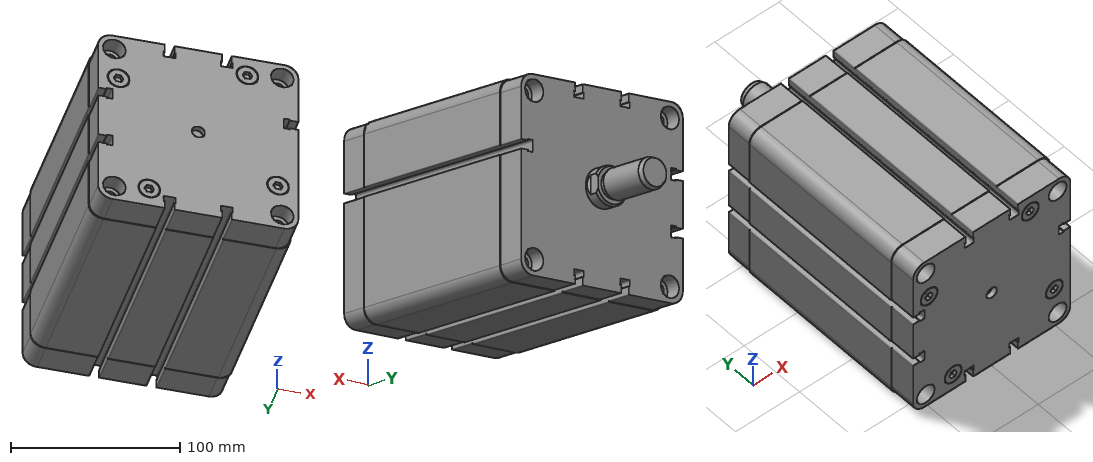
import cadquery as cq
import math


overall_length = 216.5
body_length = 166.7
cap_length = 19.3
tube_side = 124.0
cap_side = 123.0
tube_corner_radius = 9.0
cap_corner_radius = 8.9

slot_offset = 17.5
slot_mouth_width = 5.8
slot_undercut_width = 7.4
slot_depth = 9.5
slot_floor_height = tube_side / 2 - slot_depth
slot_undercut_height = 3.7
slot_lip_radius = 0.32
slot_floor_radius = 0.6

corner_hole_offset = 51.5
corner_hole_diameter = 8.5
corner_bore_diameter = 13.9
corner_bore_depth = 10.8

screw_near_offset = 30.0
screw_far_offset = 49.0
screw_recess_diameter = 13.5
screw_head_diameter = 12.5
screw_recess_depth = 5.5
hex_across_flats = 5.0
hex_depth = 2.5

center_hole_diameter = 8.0
center_hole_depth = 4.0

rod_diameter = 25.0
rod_end_diameter = 23.0
rod_end_chamfer_length = 2.0
rod_length = 10.0
neck_diameter = 17.3
thread_diameter = 20.0
thread_tip_diameter = 17.5
thread_length = 36.2
thread_tip_chamfer_length = 3.2
thread_root_chamfer_length = 0.6

flat_spacing = 21.9
flat_start = 2.8


def square_prism(side, radius, start, length):
    """Square bar with rounded corners along Y, starting at y = start."""
    bar = cq.Workplane("XY").box(side, length, side).edges("|Y").fillet(radius)
    return bar.translate((0, start + length / 2, 0))


def cylinder(diameter, start, length, x=0, z=0):
    """Round bar along Y, starting at y = start."""
    bar = cq.Workplane("XZ").circle(diameter / 2).extrude(-length)
    return bar.translate((x, start, z))


def slot_cutter(offset, turn, face_height, start, length):
    """Undercut slot at x = offset in a top face at z = face_height, turned about Y to its side."""
    undercut_top = slot_floor_height + slot_undercut_height
    undercut = cq.Workplane("XY").box(slot_undercut_width, length, slot_undercut_height)
    undercut = undercut.edges("|Y and <Z").fillet(slot_floor_radius)
    undercut = undercut.translate((0, 0, undercut_top - slot_undercut_height / 2))

    half_mouth = slot_mouth_width / 2
    half_opening = half_mouth + slot_lip_radius
    arc_start = face_height - slot_lip_radius
    mouth = (
        cq.Workplane("XZ")
        .moveTo(-half_mouth, slot_floor_height)
        .lineTo(half_mouth, slot_floor_height)
        .lineTo(half_mouth, arc_start)
        .radiusArc((half_opening, face_height), slot_lip_radius)
        .lineTo(-half_opening, face_height)
        .radiusArc((-half_mouth, arc_start), slot_lip_radius)
        .close()
        .extrude(length / 2, both=True)
    )
    cutter = undercut.union(mouth).translate((offset, start + length / 2, 0))
    return cutter.rotate((0, 0, 0), (0, 1, 0), turn)


def slotted_prism(side, radius, start, length):
    """Body section with two slots on the top, bottom and -X sides, and one on the +X side."""
    top, right, bottom, left = 0, 90, 180, 270
    section = square_prism(side, radius, start, length)
    for turn in (top, bottom, left):
        for offset in (-slot_offset, slot_offset):
            section = section.cut(slot_cutter(offset, turn, side / 2, start, length))
    return section.cut(slot_cutter(-slot_offset, right, side / 2, start, length))


def screw_cutter(x, z):
    """Thin ring around a flush screw head, plus its hexagon socket."""
    ring = cylinder(screw_recess_diameter, 0, screw_recess_depth, x, z)
    ring = ring.cut(cylinder(screw_head_diameter, 0, screw_recess_depth, x, z))
    hex_across_corners = hex_across_flats / math.cos(math.pi / 6)
    socket = cq.Workplane("XZ").polygon(6, hex_across_corners).extrude(-hex_depth)
    return ring.union(socket.translate((x, 0, z)))


def piston_rod():
    """Turned rod with a neck and a chamfered thread, and two wrench flats facing +X and -X."""
    shoulder = body_length + rod_length
    thread_start = overall_length - thread_length
    thread_tip = overall_length - thread_tip_chamfer_length
    rod_start = body_length - cap_length
    rod = (
        cq.Workplane("XY")
        .moveTo(0, rod_start)
        .lineTo(rod_diameter / 2, rod_start)
        .lineTo(rod_diameter / 2, shoulder - rod_end_chamfer_length)
        .lineTo(rod_end_diameter / 2, shoulder)
        .lineTo(neck_diameter / 2, shoulder)
        .lineTo(neck_diameter / 2, thread_start - thread_root_chamfer_length)
        .lineTo(thread_diameter / 2, thread_start)
        .lineTo(thread_diameter / 2, thread_tip)
        .lineTo(thread_tip_diameter / 2, overall_length)
        .lineTo(0, overall_length)
        .close()
        .revolve(360, (0, 0, 0), (0, 1, 0))
    )

    flat_x = flat_spacing / 2
    runout = rod_diameter / 2 - flat_x
    flat_y = body_length + flat_start
    flat_outline = [
        (flat_x, flat_y),
        (flat_x + runout, flat_y - runout),
        (flat_x + runout, shoulder),
        (flat_x, shoulder),
    ]
    flat = cq.Workplane("XY").polyline(flat_outline).close().extrude(rod_diameter / 2, both=True)
    return rod.cut(flat).cut(flat.mirror("YZ"))


tube_length = body_length - 2 * cap_length
result = slotted_prism(tube_side, tube_corner_radius, cap_length, tube_length)
for start in (0, body_length - cap_length):
    result = result.union(slotted_prism(cap_side, cap_corner_radius, start, cap_length))

for x in (-corner_hole_offset, corner_hole_offset):
    for z in (-corner_hole_offset, corner_hole_offset):
        result = result.cut(cylinder(corner_hole_diameter, 0, body_length, x, z))
        for start in (0, body_length - corner_bore_depth):
            result = result.cut(cylinder(corner_bore_diameter, start, corner_bore_depth, x, z))

for sign in (-1, 1):
    near = sign * screw_near_offset
    far = sign * screw_far_offset
    result = result.cut(screw_cutter(near, far))
    result = result.cut(screw_cutter(far, -near))

result = result.cut(cylinder(center_hole_diameter, 0, center_hole_depth))

result = result.union(piston_rod()).solids()